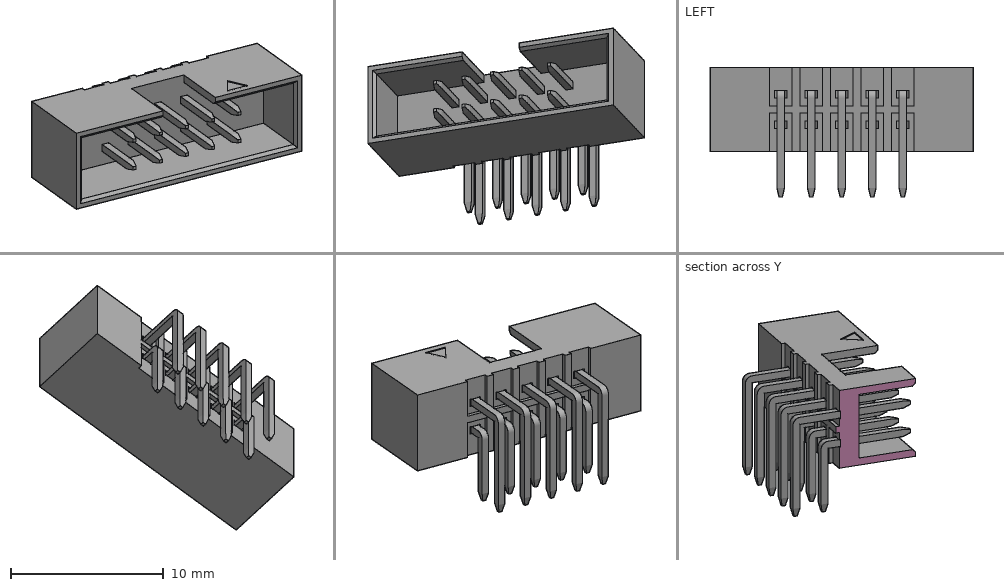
import cadquery as cq
import math


body_depth = 5.7
body_length = 17.25
body_height = 5.52
wall = 0.53
floor_thickness = 1.69
mouth_chamfer = 0.2

pins_per_row = 5
pitch = 2.0
pin_size = 0.5
pin_tip_size = 0.22
pin_taper = 0.59
pin_front_setback = 0.26
pin_tail_drop = 2.98
pin_tail_reach = 3.0
column_places = [(i - (pins_per_row - 1) / 2) * pitch for i in range(pins_per_row)]

recess_width = 1.5
recess_depth = 0.26
recess_rib = 0.48
pin_entry_width = 0.83
pin_entry_depth = (pin_entry_width - pin_size) / 2

notch_width = 2 * pitch
mark_side = 1.52
mark_base_x = 5.21
mark_depth = 0.07


def box(x_min, x_max, y_centre, width, z_min, z_max):
    """Axis-aligned block, centred on y_centre along Y."""
    block = cq.Workplane("XY").box(x_max - x_min, width, z_max - z_min, centered=(False, True, False))
    return block.translate((x_min, y_centre, z_min))


def frustum(direction, start, start_width, start_height, end_width, end_height, length):
    """Rectangular taper running along the direction from the start point."""
    base = cq.Workplane(cq.Plane(origin=start, xDir=(0, 1, 0), normal=direction))
    start_section = base.rect(start_width, start_height)
    return start_section.workplane(offset=length).rect(end_width, end_height).loft(ruled=True)


def hollow_housing():
    """Rectangular shell, open at +X, with a chamfered mouth."""
    half_height = body_height / 2
    shell = box(0, body_depth, 0, body_length, -half_height, half_height)
    cavity_width = body_length - 2 * wall
    cavity_height = body_height - 2 * wall
    cavity = box(floor_thickness, body_depth, 0, cavity_width, -cavity_height / 2, cavity_height / 2)
    mouth = frustum(
        (1, 0, 0),
        (body_depth - mouth_chamfer, 0, 0),
        cavity_width,
        cavity_height,
        cavity_width + 2 * mouth_chamfer,
        cavity_height + 2 * mouth_chamfer,
        mouth_chamfer,
    )
    return shell.cut(cavity).cut(mouth)


def key_notch():
    """Opening through the whole cavity depth in the middle of the top wall."""
    return box(floor_thickness, body_depth, 0, notch_width, body_height / 2 - wall, body_height / 2)


def pin_one_mark():
    """Shallow equilateral triangle pointing at the first column of pins."""
    mark_y = column_places[-1]
    apex_x = mark_base_x - mark_side * math.sqrt(3) / 2
    corners = [
        (apex_x, mark_y),
        (mark_base_x, mark_y - mark_side / 2),
        (mark_base_x, mark_y + mark_side / 2),
    ]
    return cq.Workplane("XY", origin=(0, 0, body_height / 2)).polyline(corners).close().extrude(-mark_depth)


def rear_recess(y, row):
    """Rear pocket around one pin, open to the top (row = 1) or bottom (row = -1)."""
    edges = sorted([row * recess_rib / 2, row * body_height / 2])
    return box(0, recess_depth, y, recess_width, edges[0], edges[1])


def pin_entry(y, z):
    """Slot in the recess floor that narrows down to the pin's width."""
    return frustum(
        (1, 0, 0),
        (recess_depth, y, z),
        pin_entry_width,
        pin_size,
        pin_size,
        pin_size,
        pin_entry_depth,
    )


def right_angle_pin(y, z, tail_x):
    """Square pin with a rounded outer bend; tail_x is the rear face of its downward leg."""
    front_x = body_depth - pin_front_setback - pin_taper
    bottom_z = -body_height / 2 - pin_tail_drop + pin_taper
    top_z = z + pin_size / 2
    inner_x = tail_x + pin_size
    inner_z = top_z - pin_size
    bend_offset = pin_size * math.sqrt(0.5)
    bent = (
        cq.Workplane("XZ", origin=(0, y + pin_size / 2, 0))
        .moveTo(front_x, top_z)
        .lineTo(inner_x, top_z)
        .threePointArc((inner_x - bend_offset, inner_z + bend_offset), (tail_x, inner_z))
        .lineTo(tail_x, bottom_z)
        .lineTo(inner_x, bottom_z)
        .lineTo(inner_x, inner_z)
        .lineTo(front_x, inner_z)
        .close()
        .extrude(pin_size)
    )
    front_tip = frustum((1, 0, 0), (front_x, y, z), pin_size, pin_size, pin_tip_size, pin_tip_size, pin_taper)
    tail_tip = frustum(
        (0, 0, -1),
        (tail_x + pin_size / 2, y, bottom_z),
        pin_size,
        pin_size,
        pin_tip_size,
        pin_tip_size,
        pin_taper,
    )
    return bent.union(front_tip).union(tail_tip)


result = hollow_housing().cut(key_notch()).cut(pin_one_mark())

for row in (1, -1):
    row_z = row * pitch / 2
    tail_x = -pin_tail_reach if row == 1 else pitch - pin_tail_reach
    for column_y in column_places:
        result = result.cut(rear_recess(column_y, row)).cut(pin_entry(column_y, row_z))
        result = result.union(right_angle_pin(column_y, row_z, tail_x))